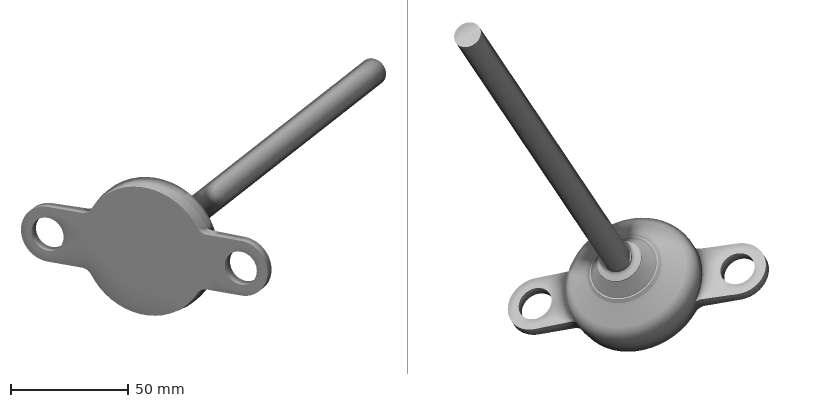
import cadquery as cq
import math

OVERALL_LENGTH = 228.0
OVERALL_WIDTH = 116.0

SOLE_RADIUS = 29.2
FOOT_RADIUS = 29.98
SKIRT_TOP = 5.5
BAND_TOP = 9.0
ROUNDING_RADIUS = 7.0
CONE_SLOPE = math.radians(27)
CONE_TOP = 20.0
LEDGE_RADIUS = 15.3
COLLAR_BASE_RADIUS = 14.8
COLLAR_BASE_Y = 21.2
FOOT_TOP_RADIUS = 9.8
FOOT_TOP = 26.7

EAR_RADIUS = 12.5
EAR_X = OVERALL_WIDTH / 2 - EAR_RADIUS
EAR_HOLE_DIAMETER = 15.0
EAR_TIP_THICKNESS = 4.0
EAR_ROOT_THICKNESS = 5.7
EAR_ROOT_FILLET = 5.0

STUD_RADIUS = 6.05
STUD_RIM_TOP = 27.1
STUD_SHOULDER_TOP = 28.3
FLAT_BOTTOM = 29.2
FLAT_TOP = 37.8
FLAT_OFFSET = 5.2


def foot_dome():
    """Drafted skirt, rounded shoulder, cone and stepped collar, revolved about Y."""
    rounding_center_x = FOOT_RADIUS - ROUNDING_RADIUS
    turn = math.pi / 2 - CONE_SLOPE
    shoulder_mid, shoulder_end = [
        (
            rounding_center_x + ROUNDING_RADIUS * math.cos(angle),
            BAND_TOP + ROUNDING_RADIUS * math.sin(angle),
        )
        for angle in (turn / 2, turn)
    ]
    cone_top_radius = shoulder_end[0] - (CONE_TOP - shoulder_end[1]) / math.tan(CONE_SLOPE)
    return (
        cq.Workplane("XY")
        .lineTo(SOLE_RADIUS, 0)
        .lineTo(FOOT_RADIUS, SKIRT_TOP)
        .lineTo(FOOT_RADIUS, BAND_TOP)
        .threePointArc(shoulder_mid, shoulder_end)
        .lineTo(cone_top_radius, CONE_TOP)
        .lineTo(LEDGE_RADIUS, COLLAR_BASE_Y)
        .lineTo(COLLAR_BASE_RADIUS, COLLAR_BASE_Y)
        .lineTo(FOOT_TOP_RADIUS, FOOT_TOP)
        .lineTo(0, FOOT_TOP)
        .close()
        .revolve(360, (0, 0, 0), (0, 1, 0))
    )


def ear_plate():
    """Two rounded ears, filleted into the sole and thinning towards their tips."""
    center_z = EAR_RADIUS + EAR_ROOT_FILLET
    center_distance = SOLE_RADIUS + EAR_ROOT_FILLET
    center_x = math.sqrt(center_distance**2 - center_z**2)
    touch_x = center_x * SOLE_RADIUS / center_distance
    touch_z = center_z * SOLE_RADIUS / center_distance
    start_angle = math.atan2(-center_z, -center_x)
    mid_angle = (start_angle - math.pi / 2) / 2
    mid_x = center_x + EAR_ROOT_FILLET * math.cos(mid_angle)
    mid_z = center_z + EAR_ROOT_FILLET * math.sin(mid_angle)

    outline = (
        cq.Workplane("XZ")
        .moveTo(-touch_x, touch_z)
        .threePointArc((0, SOLE_RADIUS), (touch_x, touch_z))
        .threePointArc((mid_x, mid_z), (center_x, EAR_RADIUS))
        .lineTo(EAR_X, EAR_RADIUS)
        .threePointArc((EAR_X + EAR_RADIUS, 0), (EAR_X, -EAR_RADIUS))
        .lineTo(center_x, -EAR_RADIUS)
        .threePointArc((mid_x, -mid_z), (touch_x, -touch_z))
        .threePointArc((0, -SOLE_RADIUS), (-touch_x, -touch_z))
        .threePointArc((-mid_x, -mid_z), (-center_x, -EAR_RADIUS))
        .lineTo(-EAR_X, -EAR_RADIUS)
        .threePointArc((-EAR_X - EAR_RADIUS, 0), (-EAR_X, EAR_RADIUS))
        .lineTo(-center_x, EAR_RADIUS)
        .threePointArc((-mid_x, mid_z), (-touch_x, touch_z))
        .close()
        .extrude(-EAR_ROOT_THICKNESS)
    )
    tip_x = OVERALL_WIDTH / 2
    thickness_profile = (
        cq.Workplane("XY")
        .polyline([
            (-tip_x, 0),
            (tip_x, 0),
            (tip_x, EAR_TIP_THICKNESS),
            (SOLE_RADIUS, EAR_ROOT_THICKNESS),
            (-SOLE_RADIUS, EAR_ROOT_THICKNESS),
            (-tip_x, EAR_TIP_THICKNESS),
        ])
        .close()
        .extrude(FOOT_RADIUS, both=True)
    )
    return outline.intersect(thickness_profile)


def make_foot():
    """Foot with its ears and the two mounting holes."""
    holes = (
        cq.Workplane("XZ")
        .pushPoints([(-EAR_X, 0), (EAR_X, 0)])
        .circle(EAR_HOLE_DIAMETER / 2)
        .extrude(-EAR_ROOT_THICKNESS)
    )
    return foot_dome().union(ear_plate()).cut(holes)


def make_stud():
    """Long stud whose conical shoulder rests on the foot, with two wrench flats."""
    stud = (
        cq.Workplane("XY")
        .moveTo(0, FOOT_TOP)
        .lineTo(FOOT_TOP_RADIUS, FOOT_TOP)
        .lineTo(FOOT_TOP_RADIUS, STUD_RIM_TOP)
        .lineTo(STUD_RADIUS, STUD_SHOULDER_TOP)
        .lineTo(STUD_RADIUS, OVERALL_LENGTH)
        .lineTo(0, OVERALL_LENGTH)
        .close()
        .revolve(360, (0, 0, 0), (0, 1, 0))
    )
    flat_length = FLAT_TOP - FLAT_BOTTOM
    for side in (-1, 1):
        flat_cutter = (
            cq.Workplane("XY")
            .box(STUD_RADIUS, flat_length, 2 * STUD_RADIUS)
            .translate((side * (FLAT_OFFSET + STUD_RADIUS / 2), FLAT_BOTTOM + flat_length / 2, 0))
        )
        stud = stud.cut(flat_cutter)
    return stud


foot = make_foot()
stud = make_stud()
result = cq.Compound.makeCompound([foot.val(), stud.val()])